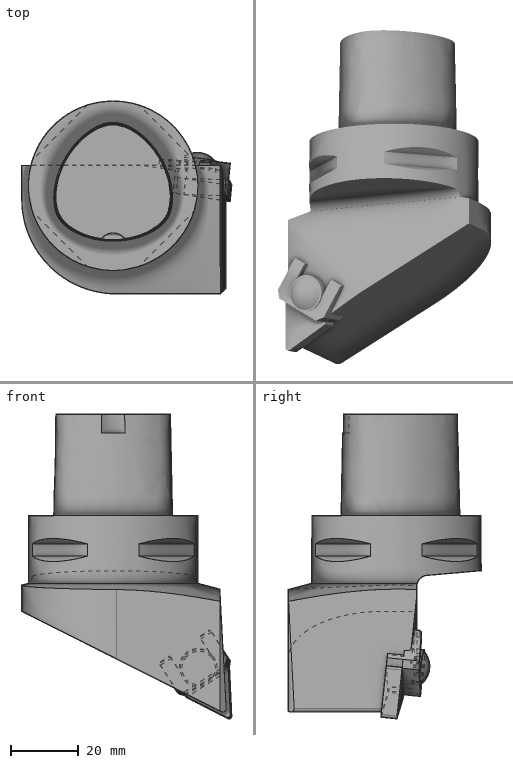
import cadquery as cq
import math

SHANK_HEIGHT = 30.0
SHANK_BASE_RADIUS = 17.55
SHANK_BASE_LOBE = 1.2
SHANK_TOP_RADIUS = 16.9
SHANK_TOP_LOBE = 1.1
SHANK_POINT_COUNT = 24
KEYWAY_RADIUS = 4.3
KEYWAY_DEPTH = 5.6
KEYWAY_BOTTOM_Y = -13.95

FLANGE_RADIUS = 50.0 / 2
FLANGE_HEIGHT = 20.0
GRIP_SLOT_COUNT = 4
GRIP_SLOT_Z = -10.2
GRIP_FLOOR_HEIGHT = 3.6
GRIP_FLOOR_DISTANCE = 22.2
GRIP_FLANK_ANGLE = 30
UNDERCUT_OUTER_Z = -16.3
UNDERCUT_ANGLE = 5
UNDERCUT_FILLET = 3.15

HEAD_LEFT_X = -27.0
HEAD_FRONT_Y = -31.95
HEAD_BACK_Y = 6.0
HEAD_CORNER_RADIUS = 28.0
HEAD_CONE_ANGLE = 15
HEAD_SIDE_X = 31.6
HEAD_SIDE_Z = -23.4
HEAD_SIDE_ANGLE = 3
HEAD_LEFT_BOTTOM_Z = -28.3
HEAD_BOTTOM_ANGLE = 26.7
HEAD_TIP_FILLET = 1.0

INSERT_TIP = (35.1, 0.0, -60.6)
INSERT_SIDE = 16.5
INSERT_CORNER_ANGLE = 60
INSERT_THICKNESS = 4.8
INSERT_CORNER_RADIUS = 0.8
INSERT_HEIGHT = INSERT_SIDE * math.cos(math.radians(INSERT_CORNER_ANGLE / 2))
SEAT_SLOPE = 0.1

RELIEF_LEVEL = 1.9
POCKET_LENGTH = INSERT_HEIGHT + 3.15

CLAMP_HALF_WIDTH = 9.0
CLAMP_NOSE_HALF_WIDTH = 7.2
CLAMP_NOSE = INSERT_HEIGHT - 0.4
CLAMP_NOSE_TOP = 4.95
CLAMP_TAPER_START = INSERT_HEIGHT + 1.6
CLAMP_TAIL = INSERT_HEIGHT + 12.3
CLAMP_TAIL_TOP = 4.05
CLAMP_TAIL_WIDTH = 3.8
CLAMP_TAIL_CHAMFER = 0.5
CLAMP_BOSS_RADIUS = 10.9 / 2
CLAMP_BOSS_TOP = 5.0
CLAMP_SCREW_DISTANCE = INSERT_HEIGHT + 5.0
SCREW_HEAD_RADIUS = 9.9 / 2
SCREW_HEAD_HEIGHT = 2.2

CUT_REACH = 90.0

seat_turn = math.radians(INSERT_CORNER_ANGLE / 2 + HEAD_SIDE_ANGLE)
seat_plane = cq.Plane(
    origin=INSERT_TIP,
    xDir=(
        -math.cos(seat_turn),
        SEAT_SLOPE * (math.cos(seat_turn) - math.sin(seat_turn)),
        -math.sin(seat_turn),
    ),
    normal=(SEAT_SLOPE, 1, -SEAT_SLOPE),
)


def seat_level(height):
    """Workplane parallel to the rake face at the given height above it."""
    return cq.Workplane(seat_plane).workplane(offset=height)


def lobed_points(radius, lobe):
    """Points on a three-lobed curve with one lobe towards +Y, from its support function."""
    points = []
    for index in range(SHANK_POINT_COUNT):
        angle = 2 * math.pi * index / SHANK_POINT_COUNT
        support = radius - lobe * math.sin(3 * angle)
        slope = -3 * lobe * math.cos(3 * angle)
        points.append((
            support * math.cos(angle) - slope * math.sin(angle),
            support * math.sin(angle) + slope * math.cos(angle),
        ))
    return points


def make_shank():
    shank = (
        cq.Workplane("XY")
        .spline(lobed_points(SHANK_BASE_RADIUS, SHANK_BASE_LOBE), periodic=True)
        .close()
        .workplane(offset=SHANK_HEIGHT)
        .spline(lobed_points(SHANK_TOP_RADIUS, SHANK_TOP_LOBE), periodic=True)
        .close()
        .loft()
    )
    keyway = (
        cq.Workplane("XY", origin=(0, KEYWAY_BOTTOM_Y - KEYWAY_RADIUS, SHANK_HEIGHT))
        .circle(KEYWAY_RADIUS)
        .extrude(-KEYWAY_DEPTH)
    )
    return shank.cut(keyway)


def make_grip_slot():
    """Cutter for a trapezoidal gripper slot across the +X side of the flange."""
    depth = FLANGE_RADIUS - GRIP_FLOOR_DISTANCE
    floor_half = GRIP_FLOOR_HEIGHT / 2
    mouth_half = floor_half + depth * math.tan(math.radians(GRIP_FLANK_ANGLE))
    return (
        cq.Workplane("XZ", origin=(0, 0, GRIP_SLOT_Z))
        .polyline([
            (GRIP_FLOOR_DISTANCE, -floor_half),
            (FLANGE_RADIUS, -mouth_half),
            (FLANGE_RADIUS, mouth_half),
            (GRIP_FLOOR_DISTANCE, floor_half),
        ])
        .close()
        .extrude(FLANGE_RADIUS, both=True)
    )


def make_undercut():
    """Cutter that removes the underside of the flange behind the head."""
    rise = math.tan(math.radians(UNDERCUT_ANGLE))
    inner_z = UNDERCUT_OUTER_Z - (FLANGE_RADIUS - HEAD_BACK_Y) * rise
    return (
        cq.Workplane("YZ")
        .polyline([
            (HEAD_BACK_Y, inner_z),
            (FLANGE_RADIUS, UNDERCUT_OUTER_Z),
            (FLANGE_RADIUS, -2 * FLANGE_HEIGHT),
            (HEAD_BACK_Y, -2 * FLANGE_HEIGHT),
        ])
        .close()
        .extrude(FLANGE_RADIUS, both=True)
        .edges("|X")
        .edges(cq.selectors.NearestToPointSelector((0, HEAD_BACK_Y, inner_z)))
        .fillet(UNDERCUT_FILLET)
    )


def make_flange():
    flange = cq.Workplane("XY").circle(FLANGE_RADIUS).extrude(-FLANGE_HEIGHT)
    slot = make_grip_slot()
    pitch = 360 / GRIP_SLOT_COUNT
    for index in range(GRIP_SLOT_COUNT):
        flange = flange.cut(slot.rotate((0, 0, 0), (0, 0, 1), pitch * (index + 0.5)))
    return flange.cut(make_undercut())


def make_head_plan():
    """Plan outline with the large corner radius and the front right chamfer."""
    arc_x = HEAD_LEFT_X + HEAD_CORNER_RADIUS
    arc_y = HEAD_FRONT_Y + HEAD_CORNER_RADIUS
    diagonal = HEAD_CORNER_RADIUS * math.sqrt(0.5)
    chamfer_run = HEAD_BACK_Y - HEAD_FRONT_Y
    return (
        cq.Workplane("XY")
        .moveTo(HEAD_LEFT_X, HEAD_BACK_Y)
        .lineTo(HEAD_LEFT_X, arc_y)
        .threePointArc((arc_x - diagonal, arc_y - diagonal), (arc_x, HEAD_FRONT_Y))
        .lineTo(HEAD_SIDE_X, HEAD_FRONT_Y)
        .lineTo(HEAD_SIDE_X + chamfer_run, HEAD_BACK_Y)
        .close()
        .extrude(-CUT_REACH)
    )


def make_head_elevation():
    """Prism along Y with the leaning right side and the sloping bottom."""
    lean = math.tan(math.radians(HEAD_SIDE_ANGLE))
    fall = math.tan(math.radians(HEAD_BOTTOM_ANGLE))
    side_top_x = HEAD_SIDE_X + lean * (HEAD_SIDE_Z + FLANGE_HEIGHT)
    corner_x = (
        side_top_x - lean * (HEAD_LEFT_BOTTOM_Z + FLANGE_HEIGHT + fall * HEAD_LEFT_X)
    ) / (1 - lean * fall)
    corner_z = HEAD_LEFT_BOTTOM_Z - fall * (corner_x - HEAD_LEFT_X)
    return (
        cq.Workplane("XZ")
        .polyline([
            (HEAD_LEFT_X, -FLANGE_HEIGHT),
            (side_top_x, -FLANGE_HEIGHT),
            (corner_x, corner_z),
            (HEAD_LEFT_X, HEAD_LEFT_BOTTOM_Z),
        ])
        .close()
        .extrude(CUT_REACH, both=True)
        .edges("|Y and <Z")
        .fillet(HEAD_TIP_FILLET)
    )


def make_head_cone():
    """Everything below the conical top face of the head."""
    cone_z = -FLANGE_HEIGHT - (CUT_REACH - FLANGE_RADIUS) * math.tan(math.radians(HEAD_CONE_ANGLE))
    return (
        cq.Workplane("XZ")
        .polyline([
            (0, -FLANGE_HEIGHT),
            (FLANGE_RADIUS, -FLANGE_HEIGHT),
            (CUT_REACH, cone_z),
            (CUT_REACH, -CUT_REACH),
            (0, -CUT_REACH),
        ])
        .close()
        .revolve(360, (0, 0, 0), (0, 1, 0))
    )


def make_head():
    head = make_head_plan().intersect(make_head_elevation()).intersect(make_head_cone())
    relief = seat_level(RELIEF_LEVEL).rect(2 * CUT_REACH, 2 * CUT_REACH).extrude(CUT_REACH)
    pocket = (
        seat_level(-INSERT_THICKNESS)
        .center(0, POCKET_LENGTH - CUT_REACH / 2)
        .rect(CUT_REACH, CUT_REACH)
        .extrude(CUT_REACH)
    )
    return head.cut(relief).cut(pocket)


def clamp_outline(level, front):
    """Tapered clamp outline from the given front edge to the end wall of the pocket."""
    return (
        seat_level(level)
        .polyline([
            (-CLAMP_NOSE_HALF_WIDTH, front),
            (CLAMP_NOSE_HALF_WIDTH, front),
            (CLAMP_HALF_WIDTH, CLAMP_TAPER_START),
            (CLAMP_HALF_WIDTH, POCKET_LENGTH),
            (-CLAMP_HALF_WIDTH, POCKET_LENGTH),
            (-CLAMP_HALF_WIDTH, CLAMP_TAPER_START),
        ])
        .close()
    )


def make_clamp_wedge():
    """Wedge filling the pocket between its end wall and the insert."""
    return clamp_outline(-INSERT_THICKNESS, INSERT_HEIGHT).extrude(INSERT_THICKNESS)


def make_clamp_profile():
    """Side profile of the clamp plate, with its top falling from nose to tail."""
    side_plane = cq.Plane(
        origin=INSERT_TIP, xDir=seat_plane.yDir.toTuple(), normal=seat_plane.xDir.toTuple()
    )
    return (
        cq.Workplane(side_plane)
        .polyline([
            (CLAMP_NOSE, 0),
            (CLAMP_TAIL, 0),
            (CLAMP_TAIL, CLAMP_TAIL_TOP - CLAMP_TAIL_CHAMFER),
            (CLAMP_TAIL - CLAMP_TAIL_CHAMFER, CLAMP_TAIL_TOP),
            (CLAMP_NOSE, CLAMP_NOSE_TOP),
        ])
        .close()
        .extrude(CLAMP_HALF_WIDTH, both=True)
    )


def make_clamp_plate():
    """Nose that overlaps the insert, and two tails beside the boss."""
    nose = clamp_outline(0, CLAMP_NOSE).extrude(CLAMP_NOSE_TOP)
    tail_x = CLAMP_HALF_WIDTH - CLAMP_TAIL_WIDTH / 2
    tail_length = CLAMP_TAIL - POCKET_LENGTH
    tails = (
        seat_level(0)
        .pushPoints([(side * tail_x, POCKET_LENGTH + tail_length / 2) for side in (-1, 1)])
        .rect(CLAMP_TAIL_WIDTH, tail_length)
        .extrude(CLAMP_NOSE_TOP)
    )
    return nose.union(tails).intersect(make_clamp_profile())


def make_clamp_screw():
    """Round boss with the domed screw head on top of it."""
    boss = (
        seat_level(0)
        .center(0, CLAMP_SCREW_DISTANCE)
        .circle(CLAMP_BOSS_RADIUS)
        .extrude(CLAMP_BOSS_TOP)
    )
    dome_radius = (SCREW_HEAD_RADIUS**2 + SCREW_HEAD_HEIGHT**2) / (2 * SCREW_HEAD_HEIGHT)
    dome = (
        seat_level(CLAMP_BOSS_TOP + SCREW_HEAD_HEIGHT - dome_radius)
        .center(0, CLAMP_SCREW_DISTANCE)
        .sphere(dome_radius)
        .intersect(
            seat_level(CLAMP_BOSS_TOP)
            .center(0, CLAMP_SCREW_DISTANCE)
            .circle(SCREW_HEAD_RADIUS)
            .extrude(SCREW_HEAD_HEIGHT)
        )
    )
    return boss.union(dome)


def make_holder():
    holder = make_shank().union(make_flange()).union(make_head())
    return holder.union(make_clamp_wedge()).union(make_clamp_plate()).union(make_clamp_screw())


def make_insert():
    """Triangular insert with rounded corners, below the rake face."""
    half_side = INSERT_SIDE / 2
    return (
        cq.Workplane(seat_plane)
        .polyline([(0, 0), (half_side, INSERT_HEIGHT), (-half_side, INSERT_HEIGHT)])
        .close()
        .extrude(-INSERT_THICKNESS)
        .edges(cq.selectors.ParallelDirSelector(seat_plane.zDir))
        .fillet(INSERT_CORNER_RADIUS)
    )


holder = make_holder()
insert = make_insert()

result = cq.Compound.makeCompound([holder.solids().val(), insert.val()])